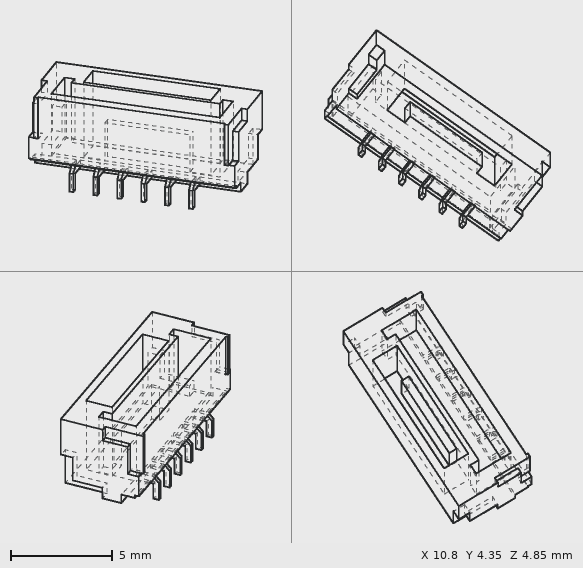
import cadquery as cq

LENGTH = 10.75
BODY_DEPTH = 4.26
BODY_HEIGHT = 4.05
OVERALL_DEPTH = 4.35
OVERALL_HEIGHT = 4.85


LIP_HEIGHT = 0.66
LIP_DEPTH = 0.22
STEP_ROOF = 0.5
STEP_BACK = 3.3

POCKET_LENGTH = 8.79
POCKET_BACK = 2.11
POCKET_FRONT = 3.65
POCKET_FLOOR = 0.83
KEY_WIDTH = 0.53
KEY_BACK = 1.62

WINDOW_LENGTH = 6.64
WINDOW_BACK = 0.43
WINDOW_FRONT = 1.85
CATCH_LENGTH = 4.45
CATCH_DEPTH = 0.43
CATCH_HEIGHT = 2.02

STRIP_WIDTH = 0.2
CLIP_INSET = 0.3
RECESS_DEPTH = CLIP_INSET + STRIP_WIDTH
RECESS_BAND = 0.65
FRONT_RECESS_BACK = 2.29
FRONT_RECESS_ELBOW = 3.64
FRONT_RECESS_DROP = 2.24
CLIP_DROP = 2.21
REAR_RECESS_FRONT = 2.27
REAR_RECESS_TOP = 1.97
REAR_RECESS_ROOF = 0.62

TERMINAL_COUNT = 6
TERMINAL_PITCH = 1.25
TERMINAL_BOTTOM = 0.09


def block(length, back, front, bottom, top, center_x=0.0):
    """Box given by its distances from the back face and its heights."""
    return (
        cq.Workplane("XY", origin=(center_x, -(back + front) / 2, bottom))
        .box(length, front - back, top - bottom, centered=(True, True, False))
    )


def side_profile(points, width, center_x):
    """Extrude an outline of (distance from back, height) points along X."""
    outline = [(-distance, height) for distance, height in points]
    start = center_x - width / 2
    return cq.Workplane("YZ", origin=(start, 0, 0)).polyline(outline).close().extrude(width)


def make_housing():
    lip_back = BODY_DEPTH - LIP_DEPTH
    points = [
        (0, 0),
        (STEP_BACK, 0),
        (STEP_BACK, STEP_ROOF),
        (lip_back, STEP_ROOF),
        (lip_back, LIP_HEIGHT),
        (BODY_DEPTH, LIP_HEIGHT),
        (BODY_DEPTH, BODY_HEIGHT),
        (0, BODY_HEIGHT),
    ]
    return side_profile(points, LENGTH, 0)


def make_pocket():
    pocket = block(POCKET_LENGTH, POCKET_BACK, POCKET_FRONT, POCKET_FLOOR, BODY_HEIGHT)
    key_x = (POCKET_LENGTH - KEY_WIDTH) / 2
    for x in (-key_x, key_x):
        pocket = pocket.union(block(KEY_WIDTH, KEY_BACK, POCKET_FRONT, POCKET_FLOOR, BODY_HEIGHT, x))
    return pocket


def make_window():
    window = block(WINDOW_LENGTH, WINDOW_BACK, WINDOW_FRONT, 0, BODY_HEIGHT)
    catch = block(CATCH_LENGTH, WINDOW_FRONT - CATCH_DEPTH, WINDOW_FRONT, 0, CATCH_HEIGHT)
    return window.cut(catch)


def front_angle(front, drop, width, center_x):
    """Inverted L that runs along the top edge and down the front edge of an end."""
    bottom = BODY_HEIGHT - drop
    band_bottom = BODY_HEIGHT - RECESS_BAND
    points = [
        (FRONT_RECESS_BACK, BODY_HEIGHT),
        (front, BODY_HEIGHT),
        (front, bottom),
        (FRONT_RECESS_ELBOW, bottom),
        (FRONT_RECESS_ELBOW, band_bottom),
        (FRONT_RECESS_BACK, band_bottom),
    ]
    return side_profile(points, width, center_x)


def rear_angle(width, center_x):
    """L that runs down the back edge and along the bottom edge of an end."""
    points = [
        (0, 0),
        (REAR_RECESS_FRONT, 0),
        (REAR_RECESS_FRONT, REAR_RECESS_ROOF),
        (RECESS_BAND, REAR_RECESS_ROOF),
        (RECESS_BAND, REAR_RECESS_TOP),
        (0, REAR_RECESS_TOP),
    ]
    return side_profile(points, width, center_x)


def make_terminal(center_x):
    """Bent terminal with a 45 degree outer corner."""
    top = STEP_ROOF
    leg_back = BODY_DEPTH - LIP_DEPTH
    bend = OVERALL_DEPTH - leg_back
    tip = BODY_HEIGHT - OVERALL_HEIGHT
    points = [
        (STEP_BACK, top),
        (leg_back, top),
        (OVERALL_DEPTH, top - bend),
        (OVERALL_DEPTH, tip),
        (leg_back, tip),
        (leg_back, TERMINAL_BOTTOM),
        (STEP_BACK, TERMINAL_BOTTOM),
    ]
    return side_profile(points, STRIP_WIDTH, center_x)


result = make_housing().cut(make_pocket()).cut(make_window())

for side in (-1, 1):
    recess_x = side * (LENGTH - RECESS_DEPTH) / 2
    clip_x = side * (LENGTH / 2 - CLIP_INSET - STRIP_WIDTH / 2)
    result = result.cut(front_angle(BODY_DEPTH, FRONT_RECESS_DROP, RECESS_DEPTH, recess_x))
    result = result.cut(rear_angle(RECESS_DEPTH, recess_x))
    result = result.union(front_angle(OVERALL_DEPTH, CLIP_DROP, STRIP_WIDTH, clip_x))

for index in range(TERMINAL_COUNT):
    terminal_x = (index - (TERMINAL_COUNT - 1) / 2) * TERMINAL_PITCH
    result = result.union(make_terminal(terminal_x))